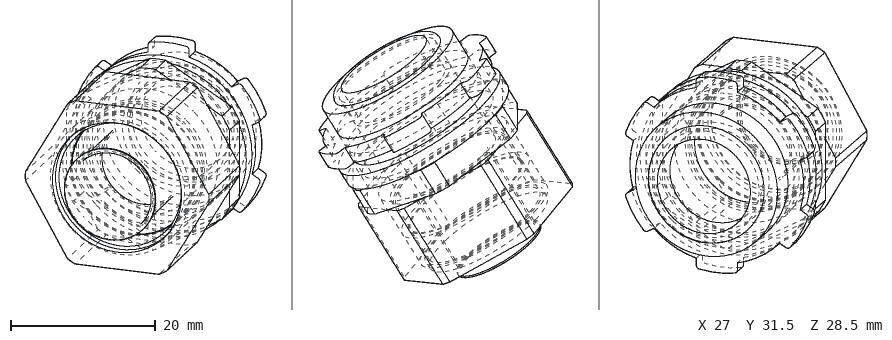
import cadquery as cq


nut_front_y = 3.0
nut_length = 12.5
hex_length = 4.03
gasket_thickness = 2.3
locknut_front_y = 23.8
locknut_thickness = 2.55
overall_length = 31.5
bushing_head_height = 1.0

nut_rear_y = nut_front_y + nut_length
hex_rear_y = nut_rear_y + hex_length
gasket_rear_y = hex_rear_y + gasket_thickness
body_rear_y = overall_length - bushing_head_height

hex_sides = 6
across_flats = 24.0
nut_corner_d = 27.0
body_corner_d = 26.52

nut_mouth_d = 19.0
nut_lip_thickness = 1.23
seal_bore_d = 18.0
seal_length = 5.05
seal_front_y = nut_front_y + nut_lip_thickness
seal_rear_y = seal_front_y + seal_length

ferrule_bore_d = 11.85
ferrule_wall_d = 18.3
ferrule_sheet = 0.25
ferrule_tip_d = 13.35
flare_radius = 0.57
cup_bend_radius = 1.0
cup_depth = 4.72
cup_floor_y = seal_rear_y + cup_depth
cup_back_y = cup_floor_y + ferrule_sheet

neck_d = 20.5
thread_d = 20.95
body_bore_d = 15.5

gasket_d = 26.0
locknut_d = 25.6
tab_count = 6
tab_tip_d = 28.45
tab_width = 6.05
tab_corner_radius = 0.5

bushing_head_d = 17.0
bushing_bore_d = 13.7
bushing_shank_length = 4.0


def cylinder(diameter, front_y, rear_y):
    """Solid cylinder on the Y axis between two stations."""
    plane = cq.Workplane("XZ", origin=(0, front_y, 0))
    return plane.circle(diameter / 2).extrude(front_y - rear_y)


def ring(outer_d, bore_d, front_y, rear_y):
    """Plain ring on the Y axis."""
    return cylinder(outer_d, front_y, rear_y).cut(cylinder(bore_d, front_y, rear_y))


def hexagon(corner_d, front_y, rear_y):
    """Hexagonal prism with two corners on the Z axis, turned down to corner_d."""
    plane = cq.Workplane("XZ", origin=(0, front_y, 0))
    prism = plane.polygon(hex_sides, across_flats, circumscribed=True).extrude(front_y - rear_y)
    return prism.intersect(cylinder(corner_d, front_y, rear_y))


def make_nut():
    """Cap nut with corners on X: a narrow mouth, then a wider bore for the seal and the body neck."""
    nut = hexagon(nut_corner_d, nut_front_y, nut_rear_y).rotate((0, 0, 0), (0, 1, 0), 180 / hex_sides)
    nut = nut.cut(cylinder(nut_mouth_d, nut_front_y, seal_front_y))
    return nut.cut(cylinder(neck_d, seal_front_y, nut_rear_y))


def make_seal():
    """Seal ring between the nut lip and the rim of the ferrule."""
    return ring(neck_d, seal_bore_d, seal_front_y, seal_rear_y)


def make_ferrule():
    """Sheet ferrule: flared tube, rounded floor and outer wall, revolved about Y."""
    bore_r = ferrule_bore_d / 2
    tube_r = bore_r + ferrule_sheet
    wall_r = ferrule_wall_d / 2
    cup_r = wall_r - ferrule_sheet
    tip_r = ferrule_tip_d / 2
    flare_r = bore_r + flare_radius
    floor_inner_r = tube_r + cup_bend_radius
    floor_outer_r = cup_r - cup_bend_radius
    bend_y = cup_floor_y - cup_bend_radius
    section = (
        cq.Workplane("XY")
        .moveTo(tip_r, ferrule_sheet)
        .lineTo(flare_r, ferrule_sheet)
        .tangentArcPoint((tube_r, flare_radius), relative=False)
        .lineTo(tube_r, bend_y)
        .tangentArcPoint((floor_inner_r, cup_floor_y), relative=False)
        .lineTo(floor_outer_r, cup_floor_y)
        .tangentArcPoint((cup_r, bend_y), relative=False)
        .lineTo(cup_r, seal_rear_y)
        .lineTo(wall_r, seal_rear_y)
        .lineTo(wall_r, bend_y)
        .tangentArcPoint((floor_outer_r, cup_back_y), relative=False)
        .lineTo(floor_inner_r, cup_back_y)
        .tangentArcPoint((bore_r, bend_y), relative=False)
        .lineTo(bore_r, flare_radius)
        .tangentArcPoint((flare_r, 0), relative=False)
        .lineTo(tip_r, 0)
        .close()
    )
    return section.revolve(360, (0, 0, 0), (0, 1, 0))


def make_body():
    """Body: neck inside the nut, hexagon with corners on Z, and long threaded end."""
    hex_grip = hexagon(body_corner_d, nut_rear_y, hex_rear_y)
    body = cylinder(neck_d, seal_rear_y, nut_rear_y).union(hex_grip)
    body = body.union(cylinder(thread_d, hex_rear_y, body_rear_y))
    body = body.cut(cylinder(ferrule_wall_d, seal_rear_y, cup_back_y))
    return body.cut(cylinder(body_bore_d, cup_back_y, body_rear_y))


def make_gasket():
    """Sealing ring against the rear face of the hexagon."""
    return ring(gasket_d, thread_d, hex_rear_y, gasket_rear_y)


def make_locknut():
    """Locknut: round ring with equally spaced tabs, the first one on +Z."""
    rear_y = locknut_front_y + locknut_thickness
    tip_r = tab_tip_d / 2
    tab = (
        cq.Workplane("XZ", origin=(0, locknut_front_y, 0))
        .center(0, tip_r / 2)
        .rect(tab_width, tip_r)
        .extrude(-locknut_thickness)
        .intersect(cylinder(tab_tip_d, locknut_front_y, rear_y))
        .faces(">Z")
        .edges("|Y")
        .fillet(tab_corner_radius)
    )
    locknut = cylinder(locknut_d, locknut_front_y, rear_y)
    for index in range(tab_count):
        locknut = locknut.union(tab.rotate((0, 0, 0), (0, 1, 0), index * 360 / tab_count))
    return locknut.cut(cylinder(thread_d, locknut_front_y, rear_y))


def make_bushing():
    """Bushing: head with a quarter-round edge over its full height, and a shank inside the body."""
    head_r = bushing_head_d / 2
    bore_r = bushing_bore_d / 2
    shank_r = body_bore_d / 2
    shank_front_y = body_rear_y - bushing_shank_length
    section = (
        cq.Workplane("XY")
        .moveTo(shank_r, shank_front_y)
        .lineTo(shank_r, body_rear_y)
        .lineTo(head_r, body_rear_y)
        .radiusArc((head_r - bushing_head_height, overall_length), -bushing_head_height)
        .lineTo(bore_r, overall_length)
        .lineTo(bore_r, shank_front_y)
        .close()
    )
    return section.revolve(360, (0, 0, 0), (0, 1, 0))


nut = make_nut()
seal = make_seal()
ferrule = make_ferrule()
body = make_body()
gasket = make_gasket()
locknut = make_locknut()
bushing = make_bushing()

result = cq.Compound.makeCompound(
    [
        nut.val(),
        seal.val(),
        ferrule.val(),
        body.val(),
        gasket.val(),
        locknut.val(),
        bushing.val(),
    ]
)